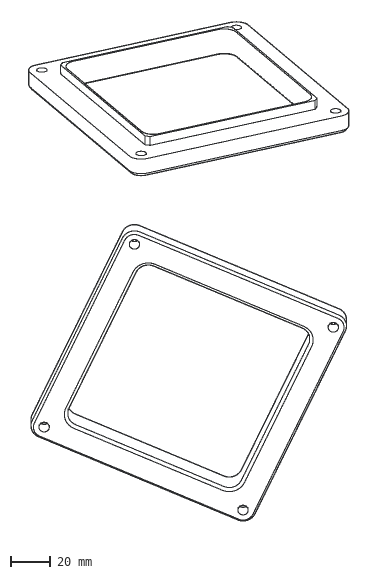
import cadquery as cq

plate_side = 125.0
plate_thickness = 10.0
corner_radius = 6.8

chamfer_width = 1.2
chamfer_height = 1.8

rim_height = 5.0
rim_wall = 1.0
opening_side = 96.6
opening_radius = 6.8
rim_side = opening_side + 2 * rim_wall
rim_corner_chamfer = 2.0

hole_diameter = 5.2
hole_spacing = plate_side - 2 * corner_radius

total_height = plate_thickness + rim_height


def square_block(side, height):
    """Square block centred on the Z axis and standing on Z = 0."""
    return cq.Workplane("XY").box(side, side, height, centered=(True, True, False))


def base_plate():
    """Plate with rounded corners."""
    return square_block(plate_side, plate_thickness).edges("|Z").fillet(corner_radius)


def rim():
    """Square rim on top of the plate, still solid, with bevelled vertical corners."""
    rim_block = square_block(rim_side, rim_height).edges("|Z").chamfer(rim_corner_chamfer)
    return rim_block.translate((0, 0, plate_thickness))


def opening():
    """Cutter for the rounded square opening through plate and rim."""
    return square_block(opening_side, total_height).edges("|Z").fillet(opening_radius)


def mounting_holes():
    """Cutters for the through holes at the four corners."""
    return (
        cq.Workplane("XY")
        .rect(hole_spacing, hole_spacing, forConstruction=True)
        .vertices()
        .circle(hole_diameter / 2)
        .extrude(plate_thickness)
    )


frame = base_plate().union(rim()).cut(opening())
frame = frame.faces("<Z").edges().chamfer(chamfer_height, chamfer_width)
result = frame.cut(mounting_holes())